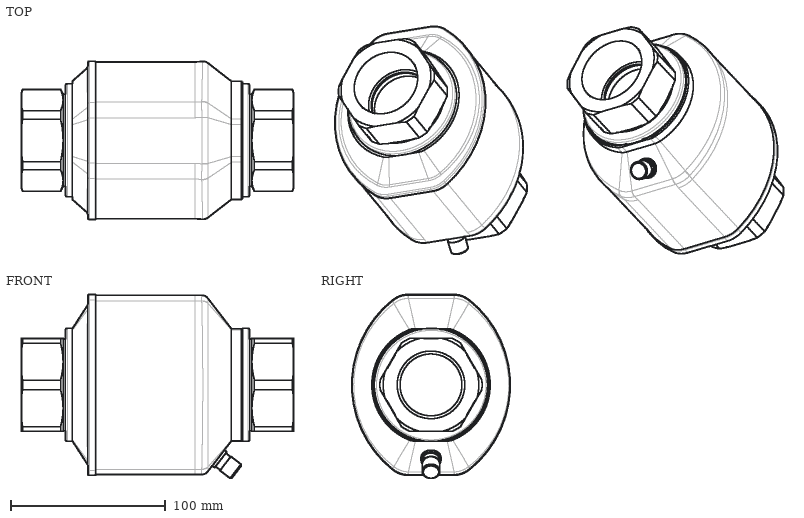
import cadquery as cq
import math

overall_length = 175.88
end_x = overall_length / 2

plane_tolerance = 0.1

collar_outer_x = 59.5
neck_end_x = 55.0
flange_front_x = -45.0
joint_x = -40.0
straight_end_x = 24.0
shoulder_x = 31.0
neck_start_x = 47.7
cover_taper_end_x = -41.0

corner_radius = 16.0
side_radius = 70.0
barrel_half_width = 50.8
barrel_half_height = 58.0
flange_half_width = 51.27
flange_half_height = 58.5
shoulder_round = 5.0
flange_edge_round = 0.9
flange_back_round = 0.4
flange_root_round = 2.6

neck_half_width = 38.3
neck_half_height = 36.35
neck_corner_radius = 10.0
neck_edge_chamfer = 0.9

collar_radius = 36.6
collar_edge_round = 1.2
seal_radius = 29.8
seal_thickness = 1.5
nut_half_flats = 30.0
nut_corner_radius = 33.0
nut_inner_chamfer = 1.6
nut_outer_chamfer = 0.8
nut_end_radius = 30.9
bore_radius = 21.85
seal_bore_radius = 20.0

connector_x = 39.3
seat_radius = 6.5
seat_thickness = 1.9
seat_embed = 2.0
shank_radius = 5.5
shank_length = 3.9
plug_radius = 5.8
plug_length = 9.05
plug_chamfer = 0.8


def barrel_outline(x, half_width, half_height, r_side, r_corner):
    """Closed YZ outline at x: flat top and bottom, bulging sides, tangent corner arcs."""
    side_centre = half_width - r_side
    corner_z = half_height - r_corner
    corner_y = side_centre + math.sqrt((r_side - r_corner) ** 2 - corner_z ** 2)
    blend = math.atan2(corner_z, corner_y - side_centre)
    join_y = side_centre + r_side * math.cos(blend)
    join_z = r_side * math.sin(blend)
    mid = (blend + math.pi / 2) / 2
    mid_y = corner_y + r_corner * math.cos(mid)
    mid_z = corner_z + r_corner * math.sin(mid)
    return (
        cq.Workplane("YZ", origin=(x, 0, 0))
        .moveTo(-corner_y, half_height)
        .lineTo(corner_y, half_height)
        .threePointArc((mid_y, mid_z), (join_y, join_z))
        .threePointArc((half_width, 0), (join_y, -join_z))
        .threePointArc((mid_y, -mid_z), (corner_y, -half_height))
        .lineTo(-corner_y, -half_height)
        .threePointArc((-mid_y, -mid_z), (-join_y, -join_z))
        .threePointArc((-half_width, 0), (-join_y, join_z))
        .threePointArc((-mid_y, mid_z), (-corner_y, half_height))
        .close()
    )


def barrel(x, half_width=barrel_half_width, half_height=barrel_half_height):
    return barrel_outline(x, half_width, half_height, side_radius, corner_radius)


def neck(x):
    return barrel_outline(x, neck_half_width, neck_half_height, neck_half_width, neck_corner_radius)


def edges_at(x, reach_y, reach_z):
    """Selects the edges in the plane at x whose centres lie within the given reach."""
    return cq.selectors.BoxSelector(
        (x - plane_tolerance, -reach_y, -reach_z),
        (x + plane_tolerance, reach_y, reach_z),
    )


def loft_between(first, second):
    wires = [first.wire().val(), second.wire().val()]
    return cq.Workplane(cq.Solid.makeLoft(wires, True))


def make_housing():
    straight = barrel(joint_x).extrude(straight_end_x - joint_x)
    swell = loft_between(barrel(straight_end_x), barrel(shoulder_x, flange_half_width))
    taper = loft_between(barrel(shoulder_x, flange_half_width), neck(neck_start_x))
    shoulder_edges = edges_at(shoulder_x, 2 * barrel_half_width, 2 * barrel_half_height)
    shoulder = swell.union(taper).edges(shoulder_edges).fillet(shoulder_round)
    end = neck(neck_start_x).extrude(neck_end_x - neck_start_x).faces(">X").chamfer(neck_edge_chamfer)
    return straight.union(shoulder).union(end)


def make_cover():
    flange = (
        barrel(flange_front_x, flange_half_width, flange_half_height)
        .extrude(joint_x - flange_front_x)
        .faces("<X").edges().fillet(flange_edge_round)
        .faces(">X").edges().fillet(flange_back_round)
    )
    taper = loft_between(neck(-neck_end_x), barrel(cover_taper_end_x))
    inside_rim_y = flange_half_width - 2 * flange_edge_round
    inside_rim_z = flange_half_height - 2 * flange_edge_round
    root_edges = edges_at(flange_front_x, inside_rim_y, inside_rim_z)
    return flange.union(taper).edges(root_edges).fillet(flange_root_round)


def tube(x, length, radius, hole):
    return cq.Workplane("YZ", origin=(x, 0, 0)).circle(radius).circle(hole).extrude(length)


def make_collar():
    return (
        tube(-collar_outer_x, collar_outer_x - neck_end_x, collar_radius, seal_bore_radius)
        .faces("<X").edges(cq.selectors.RadiusNthSelector(-1)).fillet(collar_edge_round)
    )


def make_seal():
    return tube(-collar_outer_x - seal_thickness, seal_thickness, seal_radius, seal_bore_radius)


def make_nut():
    inner_x = -collar_outer_x - seal_thickness
    hexagon = (
        cq.Workplane("YZ", origin=(-end_x, 0, 0))
        .polygon(6, 2 * nut_half_flats, circumscribed=True)
        .extrude(end_x + inner_x)
        .rotate((0, 0, 0), (1, 0, 0), 90)
    )
    turned = (
        cq.Workplane("XY")
        .moveTo(-end_x, bore_radius)
        .lineTo(-end_x, nut_end_radius)
        .lineTo(-end_x + nut_outer_chamfer, nut_corner_radius)
        .lineTo(inner_x - nut_inner_chamfer, nut_corner_radius)
        .lineTo(inner_x, nut_half_flats)
        .lineTo(inner_x, bore_radius)
        .close()
        .revolve(360, (0, 0, 0), (1, 0, 0))
    )
    return hexagon.intersect(turned)


taper_start = (shoulder_x, -barrel_half_height)
taper_end = (neck_start_x, -neck_half_height)
taper_run = taper_end[0] - taper_start[0]
taper_rise = taper_end[1] - taper_start[1]
connector_z = taper_start[1] + taper_rise * (connector_x - shoulder_x) / taper_run
connector_axis = cq.Vector(taper_rise, 0, -taper_run).normalized()
connector_plane = cq.Plane((connector_x, 0, connector_z), xDir=(0, 1, 0), normal=connector_axis)


def make_connector_seat():
    embedded = cq.Workplane(connector_plane).workplane(offset=-seat_embed)
    return embedded.circle(seat_radius).extrude(seat_embed + seat_thickness)


def make_connector():
    shank_base = cq.Workplane(connector_plane).workplane(offset=seat_thickness)
    shank = shank_base.circle(shank_radius).extrude(shank_length)
    plug_base = cq.Workplane(connector_plane).workplane(offset=seat_thickness + shank_length)
    plug = plug_base.circle(plug_radius).extrude(plug_length)
    outer_end = cq.selectors.DirectionMinMaxSelector(connector_axis, True)
    plug = plug.faces(outer_end).chamfer(plug_chamfer)
    return shank.union(plug)


connector_seat = make_connector_seat()
connector = make_connector()
housing = make_housing().cut(connector_seat)
cover = make_cover()

fittings = []
for make_fitting in (make_collar, make_seal, make_nut):
    left_fitting = make_fitting()
    right_fitting = left_fitting.mirror("YZ")
    fittings += [left_fitting.val(), right_fitting.val()]

result = cq.Compound.makeCompound(
    [housing.val(), cover.val(), *fittings, connector_seat.val(), connector.val()]
)